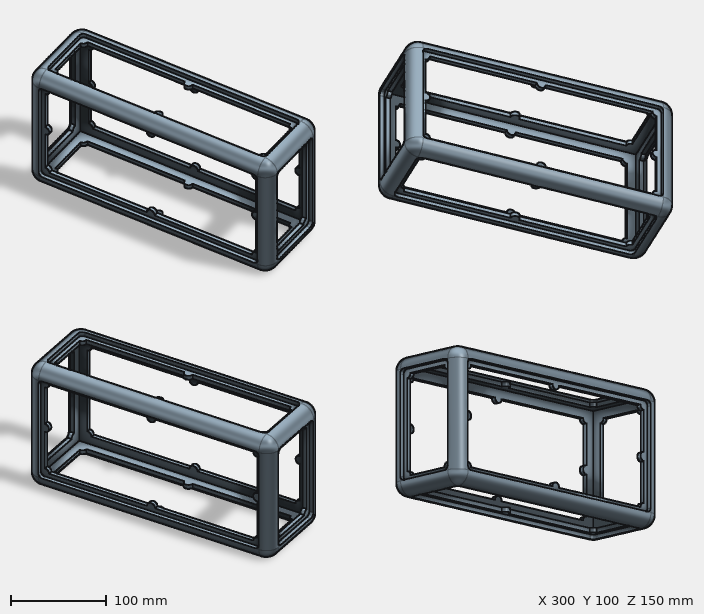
import cadquery as cq

LENGTH = 300.0
WIDTH = 100.0
HEIGHT = 150.0
EDGE_RADIUS = 15.0

RECESS_DEPTH = 5.0
RECESS_CORNER_RADIUS = 5.0
LEDGE_WIDTH = 5.0
LEDGE_THICKNESS = 5.0

TAB_RADIUS = 5.0

WALL = RECESS_DEPTH + LEDGE_THICKNESS
WINDOW_INSET = EDGE_RADIUS + LEDGE_WIDTH


def hollow_shell():
    """Rounded box with a sharp-cornered cavity."""
    outside = cq.Workplane("XY").box(LENGTH, WIDTH, HEIGHT).edges().fillet(EDGE_RADIUS)
    cavity = cq.Workplane("XY").box(LENGTH - 2 * WALL, WIDTH - 2 * WALL, HEIGHT - 2 * WALL)
    return outside.cut(cavity)


def recess_pair(across, up, span):
    """Rounded pockets sunk into the two faces at z = -span/2 and z = span/2."""
    block = cq.Workplane("XY").box(across - 2 * EDGE_RADIUS, up - 2 * EDGE_RADIUS, span)
    core = cq.Workplane("XY").box(across, up, span - 2 * RECESS_DEPTH)
    return block.edges("|Z").fillet(RECESS_CORNER_RADIUS).cut(core)


def tabbed_window(across, up, span, tabs_midway_across, tabs_midway_up):
    """Rectangular window along Z, with round tabs left standing at its border."""
    window_across = across - 2 * WINDOW_INSET
    window_up = up - 2 * WINDOW_INSET
    tab_points = []
    for side in (-0.5, 0.5):
        tab_points.append((-window_across / 2, side * window_up))
        tab_points.append((window_across / 2, side * window_up))
        if tabs_midway_across:
            tab_points.append((0, side * window_up))
        if tabs_midway_up:
            tab_points.append((side * window_across, 0))
    window = cq.Workplane("XY").box(window_across, window_up, span)
    tabs = cq.Workplane("XY").pushPoints(tab_points).circle(TAB_RADIUS).extrude(span / 2, both=True)
    return window.cut(tabs)


def opening_pair(across, up, span, tabs_midway_across=False, tabs_midway_up=False):
    """Cutter for two opposite faces: a recess in each, and the window through their ledges."""
    window = tabbed_window(across, up, span, tabs_midway_across, tabs_midway_up)
    cavity = cq.Workplane("XY").box(across, up, span - 2 * WALL)
    return recess_pair(across, up, span).union(window.cut(cavity))


ORIGIN = (0, 0, 0)
X_AXIS = (1, 0, 0)
Y_AXIS = (0, 1, 0)

top_and_bottom = opening_pair(LENGTH, WIDTH, HEIGHT, tabs_midway_across=True)
front_and_back = opening_pair(
    LENGTH, HEIGHT, WIDTH, tabs_midway_across=True, tabs_midway_up=True
).rotate(ORIGIN, X_AXIS, 90)
left_and_right = opening_pair(HEIGHT, WIDTH, LENGTH).rotate(ORIGIN, Y_AXIS, 90)

result = hollow_shell().cut(top_and_bottom).cut(front_and_back).cut(left_and_right)